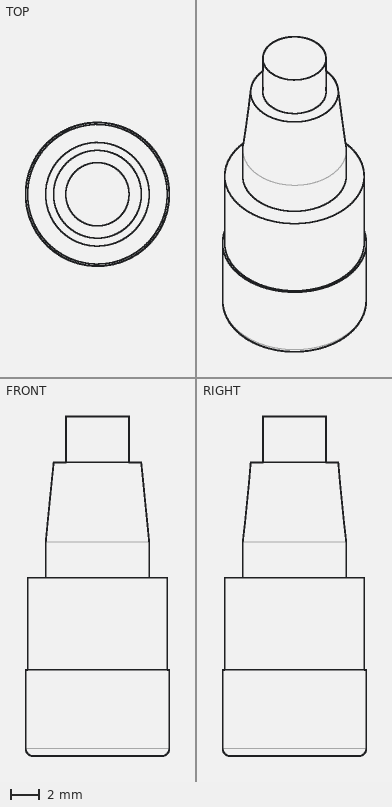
import cadquery as cq

total_height = 23.6

base_diameter = 10.0
base_height = 6.0
base_edge_radius = 0.55

barrel_diameter = 9.7
barrel_height = 6.4

collar_diameter = 7.2
collar_height = 2.5

taper_top_diameter = 6.1
taper_height = 5.5

cable_diameter = 4.4

barrel_top = base_height + barrel_height
collar_top = barrel_top + collar_height
taper_top = collar_top + taper_height
cable_length = total_height - taper_top


def make_housing():
    """Stepped round housing: base, barrel, collar and tapered cable boot."""
    base_radius = base_diameter / 2
    barrel_radius = barrel_diameter / 2
    collar_radius = collar_diameter / 2
    half_profile = (
        cq.Workplane("XZ")
        .moveTo(0, 0)
        .lineTo(base_radius - base_edge_radius, 0)
        .radiusArc((base_radius, base_edge_radius), -base_edge_radius)
        .lineTo(base_radius, base_height)
        .lineTo(barrel_radius, base_height)
        .lineTo(barrel_radius, barrel_top)
        .lineTo(collar_radius, barrel_top)
        .lineTo(collar_radius, collar_top)
        .lineTo(taper_top_diameter / 2, taper_top)
        .lineTo(0, taper_top)
        .close()
    )
    return half_profile.revolve(360, (0, 0, 0), (0, 1, 0))


def make_cable():
    """Round cable stub standing on the flat end of the boot."""
    return cq.Workplane("XY", origin=(0, 0, taper_top)).circle(cable_diameter / 2).extrude(cable_length)


housing = make_housing()
cable = make_cable()

result = cq.Compound.makeCompound([housing.val(), cable.val()])